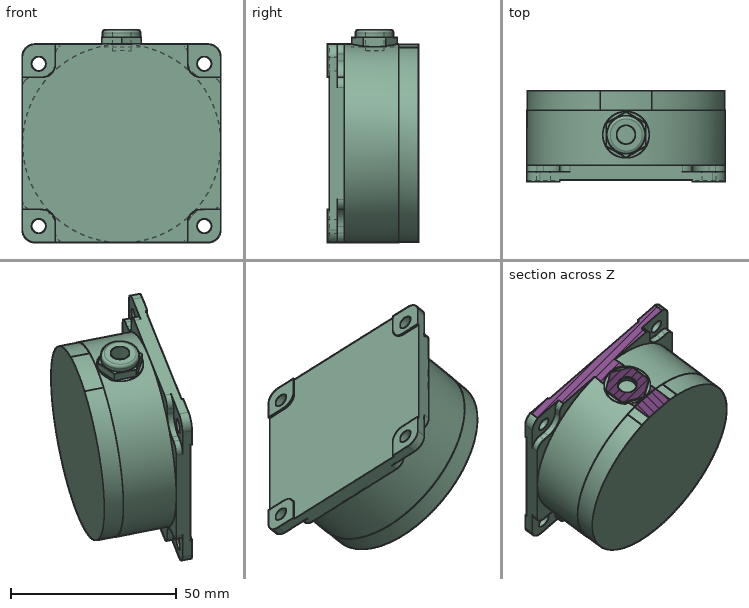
import cadquery as cq
import math

side = 60.0
half_side = side / 2
total_height = 64.3

plate_depth = 5.0
plate_corner_radius = 4.0
foot_height = 0.5
corner_size = 10.0
foot_corner_radius = 4.0
mount_hole_diameter = 4.25
mount_hole_inset = 5.0
mount_hole_top_inset = 6.0
relief_depth = 2.0
relief_inner_radius = 5.0
relief_flare_radius = 3.0

housing_depth = 16.5
housing_radius = half_side
housing_end = plate_depth + housing_depth

lid_depth = 6.0
lid_radius = 29.9
lid_end = housing_end + lid_depth
band_angle = 30.0

gland_y = housing_end - 7.3
seat_radius = 7.0
seat_z = math.sqrt(housing_radius**2 - seat_radius**2)
gland_across_flats = 11.95
gland_across_corners = gland_across_flats / math.cos(math.pi / 6)
gland_top = total_height - half_side
cap_diameter = 11.6
cap_height = 2.3
cap_fillet = 0.95
hex_top = gland_top - cap_height
cable_hole_diameter = 5.65
cable_hole_depth = 1.9
cable_hole_floor_radius = housing_radius - cable_hole_depth


def along_y(start_y):
    """Workplane at start_y that extrudes toward +Y; its local axes are X and -Z."""
    return cq.Workplane(cq.Plane(origin=(0, start_y, 0), xDir=(1, 0, 0), normal=(0, 1, 0)))


def along_z(start_z):
    """Workplane on the gland axis at start_z that extrudes upward."""
    return cq.Workplane("XY", origin=(0, gland_y, start_z))


def plate_layer(start_y, depth):
    """Slice of the square plate with sharp corners."""
    return along_y(start_y).rect(side, side).extrude(depth)


def corner_blocks(start_y, depth, inner_radius):
    """Four blocks over the plate corners, each rounded toward the plate centre."""
    return (
        along_y(start_y)
        .rect(side, side, forConstruction=True)
        .vertices()
        .rect(2 * corner_size, 2 * corner_size)
        .extrude(depth)
        .edges("|Y")
        .fillet(inner_radius)
    )


def make_base_plate():
    relief_start = plate_depth - relief_depth
    outline = plate_layer(0, relief_start).edges("|Y").fillet(plate_corner_radius)
    feet = corner_blocks(0, foot_height, foot_corner_radius).intersect(outline)
    web = outline.intersect(plate_layer(foot_height, relief_start - foot_height))
    pad = (
        plate_layer(relief_start, relief_depth)
        .cut(corner_blocks(relief_start, relief_depth, relief_inner_radius))
        .edges("|Y")
        .edges(">X or <X or >Z or <Z")
        .fillet(relief_flare_radius)
    )
    hole_x = half_side - mount_hole_inset
    lower_hole_z = mount_hole_inset - half_side
    upper_hole_z = half_side - mount_hole_top_inset
    hole_centres = [(x, -z) for x in (-hole_x, hole_x) for z in (lower_hole_z, upper_hole_z)]
    mount_holes = along_y(0).pushPoints(hole_centres).circle(mount_hole_diameter / 2).extrude(relief_start)
    return web.union(feet).union(pad).cut(mount_holes)


def make_gland_seat():
    """Flat round spot face for the gland."""
    return along_z(seat_z).circle(seat_radius).extrude(half_side - seat_z)


def make_cable_hole():
    """Blind hole under the gland, ending on a cylinder concentric with the housing."""
    core = along_y(0).circle(cable_hole_floor_radius).extrude(lid_end)
    return along_z(0).circle(cable_hole_diameter / 2).extrude(half_side).cut(core)


def make_housing():
    drum = along_y(plate_depth).circle(housing_radius).extrude(housing_depth)
    return make_base_plate().union(drum).cut(make_gland_seat()).cut(make_cable_hole())


def make_lid():
    disc = along_y(housing_end).circle(lid_radius).extrude(lid_depth)
    half_angle = math.radians(band_angle / 2)
    band_x = housing_radius * math.sin(half_angle)
    band_z = housing_radius * math.cos(half_angle)
    band = (
        along_y(housing_end)
        .lineTo(-band_x, -band_z)
        .threePointArc((0, -housing_radius), (band_x, -band_z))
        .close()
        .extrude(lid_depth)
    )
    return disc.union(band)


def make_gland():
    hexagon = (
        along_z(seat_z)
        .transformed(rotate=(0, 0, 90))
        .polygon(6, gland_across_corners)
        .extrude(hex_top - seat_z)
    )
    cap = (
        along_z(hex_top)
        .circle(cap_diameter / 2)
        .extrude(cap_height)
        .faces(">Z")
        .edges()
        .fillet(cap_fillet)
    )
    bore = along_z(seat_z).circle(cable_hole_diameter / 2).extrude(gland_top - seat_z)
    return hexagon.union(cap).cut(bore)


housing = make_housing()
lid = make_lid()
gland = make_gland()

result = cq.Compound.makeCompound([housing.val(), lid.val(), gland.val()])